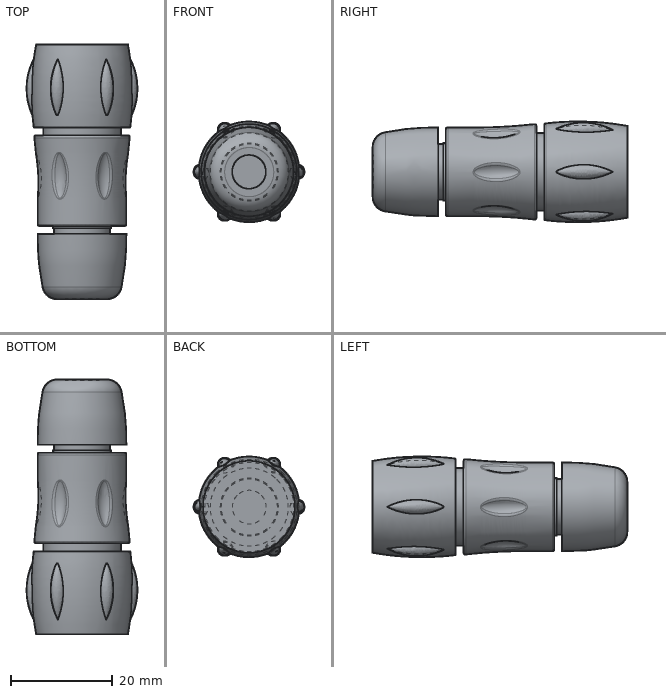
import cadquery as cq
import math

total_length = 50.45

cap_length = 12.97
front_gap = 1.52
sleeve_length = 17.96
rear_gap = 1.52

sleeve_front = cap_length + front_gap
sleeve_rear = sleeve_front + sleeve_length
nut_front = sleeve_rear + rear_gap

cap_radius = 8.81
cap_shoulder_radius = 8.55
cap_shoulder_from_rear = 5.9
cap_face_radius = 4.86
cap_nose_round = 3.04
cap_taper_end_radius = 7.85
recess_radius = 3.34
recess_depth = 0.2

front_neck_radius = 5.55
collar_radius = 5.75
collar_length = 0.45
rear_neck_radius = 7.72

sleeve_radius = 8.8
sleeve_flare_radius = 9.5
sleeve_waist_radius = 8.88
sleeve_waist_y = 24.25
sleeve_flare_angle = math.radians(6.5)
sleeve_edge_round = 0.4

nut_front_radius = 9.57
nut_belly_radius = 9.975
nut_rear_radius = 9.1
nut_belly_from_rear = 8.75
nut_edge_round = 0.3

grip_count = 6
bump_center_y = 41.7
bump_length = 11.7
bump_thickness_radius = 1.45
bump_tip_radius = 10.995
dimple_center_y = 24.05
dimple_length = 8.6
dimple_width = 3.3
dimple_depth = 0.8
dimple_edge_round = 0.7


def spin(outline):
    """Close an outline that starts and ends on the local Y axis and revolve it about that axis."""
    return outline.close().revolve(360, (0, 0, 0), (0, 1, 0))


def make_disc(radius, start_y, end_y):
    """Cylinder about the Y axis between two stations."""
    return cq.Workplane("XZ", origin=(0, start_y, 0)).circle(radius).extrude(start_y - end_y)


def make_cap():
    """Flat tip with a shallow recess, rounded nose and a body swelling to a full rear rim."""
    rise = cap_taper_end_radius - cap_face_radius
    taper_end_y = cap_nose_round - math.sqrt(cap_nose_round**2 - rise**2)
    half_angle = math.asin(rise / cap_nose_round) / 2
    nose_mid = (
        cap_face_radius + cap_nose_round * math.sin(half_angle),
        cap_nose_round * (1 - math.cos(half_angle)),
    )
    taper_end = (cap_taper_end_radius, taper_end_y)
    shoulder = (cap_shoulder_radius, cap_length - cap_shoulder_from_rear)
    cap_rim = (cap_radius, cap_length)
    nose_direction = (cap_nose_round - taper_end_y, rise)
    body = spin(
        cq.Workplane("XY")
        .lineTo(cap_face_radius, 0)
        .threePointArc(nose_mid, taper_end)
        .spline([shoulder, cap_rim], tangents=[nose_direction, (0, 1)], includeCurrent=True)
        .lineTo(0, cap_length)
    )
    recess = make_disc(recess_radius, 0, recess_depth)
    return body.cut(recess)


def around_axis(shape):
    """Copies of a shape equally spaced about the Y axis, the first on +X."""
    step = 360 / grip_count
    return [shape.rotate((0, 0, 0), (0, 1, 0), i * step) for i in range(grip_count)]


def make_spindle(axis_x, center_y, length, thickness_radius):
    """Pointed spindle parallel to Y: a circular arc spun about its own chord."""
    return spin(
        cq.Workplane("XY", origin=(axis_x, center_y, 0))
        .moveTo(0, -length / 2)
        .threePointArc((thickness_radius, 0), (0, length / 2))
    )


def arc_radius(chord, sagitta):
    """Radius of the arc with the given chord and sagitta."""
    return (chord**2 / 4 + sagitta**2) / (2 * sagitta)


def make_dimple_cutter():
    """Spindle sized so that it opens to the dimple length and width at the sleeve surface."""
    thickness_radius = arc_radius(dimple_width, dimple_depth)
    axis_x = sleeve_waist_radius - dimple_depth + thickness_radius
    profile_radius = arc_radius(dimple_length, dimple_depth)
    half_length = math.sqrt(profile_radius**2 - (profile_radius - thickness_radius) ** 2)
    return make_spindle(axis_x, dimple_center_y, 2 * half_length, thickness_radius)


def make_sleeve():
    """Sleeve that flares towards the nut, with rounded rims and finger dimples."""
    waist = (sleeve_waist_radius, sleeve_waist_y)
    flare_rim = (sleeve_flare_radius, sleeve_rear)
    flare_direction = (math.sin(sleeve_flare_angle), math.cos(sleeve_flare_angle))
    blank = spin(
        cq.Workplane("XY")
        .moveTo(0, sleeve_front)
        .lineTo(sleeve_radius, sleeve_front)
        .spline([waist, flare_rim], tangents=[(0, 1), flare_direction], includeCurrent=True)
        .lineTo(0, sleeve_rear)
    )
    sleeve = blank.faces("<Y or >Y").edges().fillet(sleeve_edge_round)
    for cutter in around_axis(make_dimple_cutter()):
        sleeve = sleeve.cut(cutter)
    reach = sleeve_flare_radius
    rim_box = cq.selectors.BoxSelector(
        (-reach, dimple_center_y - dimple_length / 2, -reach),
        (reach, dimple_center_y + dimple_length / 2, reach),
    )
    return sleeve.edges(rim_box).fillet(dimple_edge_round)


def make_nut():
    """Barrel-shaped nut with a rounded front rim and spindle-shaped grip bumps."""
    belly_y = total_length - nut_belly_from_rear
    blank = spin(
        cq.Workplane("XY")
        .moveTo(0, nut_front)
        .lineTo(nut_front_radius, nut_front)
        .threePointArc((nut_belly_radius, belly_y), (nut_rear_radius, total_length))
        .lineTo(0, total_length)
    )
    nut = blank.faces("<Y").edges().fillet(nut_edge_round)
    bump_axis_x = bump_tip_radius - bump_thickness_radius
    bump = make_spindle(bump_axis_x, bump_center_y, bump_length, bump_thickness_radius)
    for grip in around_axis(bump):
        nut = nut.union(grip)
    return nut


def make_necks():
    """Narrower cylinders joining the cap, sleeve and nut."""
    front_neck = make_disc(front_neck_radius, cap_length, sleeve_front)
    collar = make_disc(collar_radius, sleeve_front - collar_length, sleeve_front)
    rear_neck = make_disc(rear_neck_radius, sleeve_rear, nut_front)
    return [front_neck, collar, rear_neck]


result = make_cap().union(make_sleeve()).union(make_nut())
for neck in make_necks():
    result = result.union(neck)